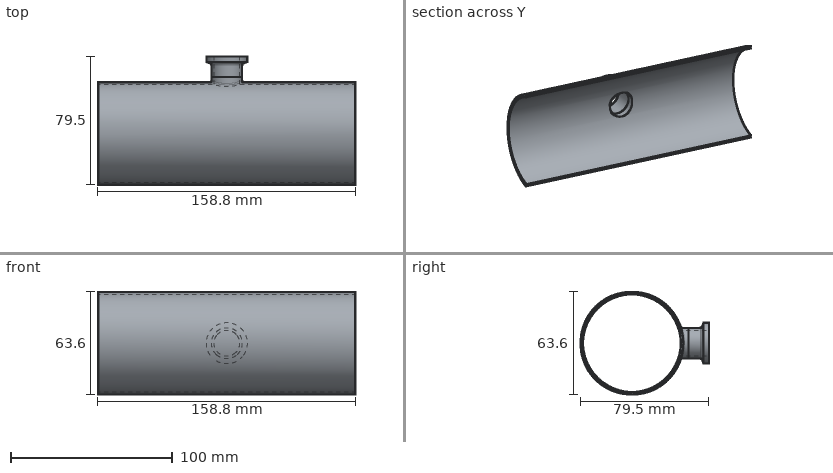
import cadquery as cq
import math

tube_length = 158.8
tube_radius = 31.8
wall = 1.6

branch_radius = 9.5
branch_bore_radius = branch_radius - wall
joint_y = 35.0
base_fillet = 0.8

ferrule_length = 12.7
flange_radius = 12.7
rim_thickness = 3.3
taper_angle = math.radians(20)
neck_fillet = 1.3
ferrule_end_y = joint_y + ferrule_length


def cylinder_along_y(radius, length):
    """Solid cylinder starting at the tube axis and running along +Y."""
    return cq.Workplane("XZ").circle(radius).extrude(-length)


def cylinder_along_x(radius):
    """Solid cylinder as long as the tube, centred at the origin."""
    return cq.Workplane("YZ").circle(radius).extrude(tube_length / 2, both=True)


def make_tee():
    """Tube with a short branch stub, filleted at its base and open into the tube."""
    outside = cylinder_along_x(tube_radius).union(cylinder_along_y(branch_radius, joint_y))
    base_zone = cq.selectors.BoxSelector(
        (-flange_radius, 0, -flange_radius),
        (flange_radius, tube_radius + wall / 2, flange_radius),
        boundingbox=True,
    )
    outside = outside.edges(base_zone).fillet(base_fillet)
    return outside.cut(cylinder_along_x(tube_radius - wall)).cut(
        cylinder_along_y(branch_bore_radius, joint_y)
    )


def make_ferrule():
    """Revolved neck and flange with a tapered clamping shoulder."""
    rim_y = ferrule_end_y - rim_thickness
    taper_drop = (flange_radius - branch_radius) * math.tan(taper_angle)
    body = (
        cq.Workplane("XY")
        .moveTo(branch_bore_radius, joint_y)
        .lineTo(branch_radius, joint_y)
        .lineTo(branch_radius, rim_y - taper_drop)
        .lineTo(flange_radius, rim_y)
        .lineTo(flange_radius, ferrule_end_y)
        .lineTo(branch_bore_radius, ferrule_end_y)
        .close()
        .revolve(360, (0, 0, 0), (0, 1, 0))
    )
    shoulder = cq.selectors.NearestToPointSelector((0, rim_y - taper_drop, 0))
    return body.edges("%CIRCLE").edges(shoulder).fillet(neck_fillet)


tee = make_tee()
ferrule = make_ferrule()
result = cq.Compound.makeCompound([tee.solids().val(), ferrule.solids().val()])